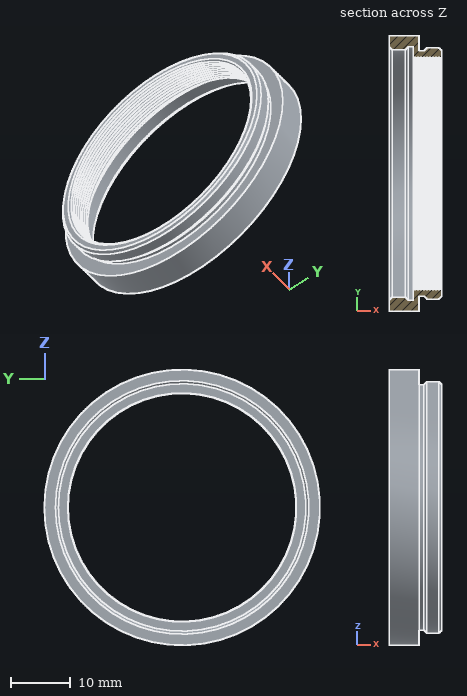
import cadquery as cq
import math

total_length = 8.8
flange_length = 5.0
flange_diameter = 46.0

male_diameter = 42.0
male_relief_diameter = 41.0
male_relief_length = 0.8
male_chamfer = (male_diameter - male_relief_diameter) / 2

socket_diameter = 41.25
socket_mouth_diameter = 42.25
socket_relief_diameter = 42.25
socket_depth = 4.0
socket_relief_length = 0.8
socket_chamfer = (socket_mouth_diameter - socket_diameter) / 2

bore_diameter = 38.0
groove_pitch = 0.5
groove_flank_angle = 60.0
flank_slope = math.tan(math.radians(groove_flank_angle))
groove_depth = groove_pitch / 2 * flank_slope
full_groove_count = math.floor((total_length - socket_depth) / groove_pitch - 0.5)

x_start = -total_length / 2
x_end = x_start + total_length


def revolve_profile(points):
    """Revolve a closed (x, radius) outline about the X axis."""
    outline = cq.Workplane("XY").polyline(points).close()
    return outline.revolve(360, (0, 0, 0), (1, 0, 0))


def outer_body():
    """Solid flange and male section, with the relief between them."""
    flange_face = x_start + flange_length
    male_start = flange_face + male_relief_length
    return revolve_profile([
        (x_start, 0),
        (x_start, flange_diameter / 2),
        (flange_face, flange_diameter / 2),
        (flange_face, male_relief_diameter / 2),
        (male_start, male_relief_diameter / 2),
        (male_start + male_chamfer, male_diameter / 2),
        (x_end - male_chamfer, male_diameter / 2),
        (x_end, male_diameter / 2 - male_chamfer),
        (x_end, 0),
    ])


def socket():
    """Volume of the female section: chamfered mouth, wall and bottom relief."""
    shoulder = x_start + socket_depth
    relief_start = shoulder - socket_relief_length
    return revolve_profile([
        (x_start, 0),
        (x_start, socket_mouth_diameter / 2),
        (x_start + socket_chamfer, socket_diameter / 2),
        (relief_start - socket_chamfer, socket_diameter / 2),
        (relief_start, socket_relief_diameter / 2),
        (shoulder, socket_relief_diameter / 2),
        (shoulder, 0),
    ])


def grooved_bore():
    """Volume of the through bore with a row of V grooves side by side."""
    crest_radius = bore_diameter / 2
    root_radius = crest_radius + groove_depth
    shoulder = x_start + socket_depth
    last_crest = x_end - groove_pitch / 2
    first_crest = last_crest - full_groove_count * groove_pitch
    shoulder_radius = crest_radius + (first_crest - shoulder) * flank_slope

    points = [(shoulder, 0), (shoulder, shoulder_radius), (first_crest, crest_radius)]
    for i in range(full_groove_count):
        groove_start = first_crest + i * groove_pitch
        points.append((groove_start + groove_pitch / 2, root_radius))
        points.append((groove_start + groove_pitch, crest_radius))
    points += [(x_end, root_radius), (x_end, 0)]
    return revolve_profile(points)


result = outer_body().cut(socket()).cut(grooved_bore())